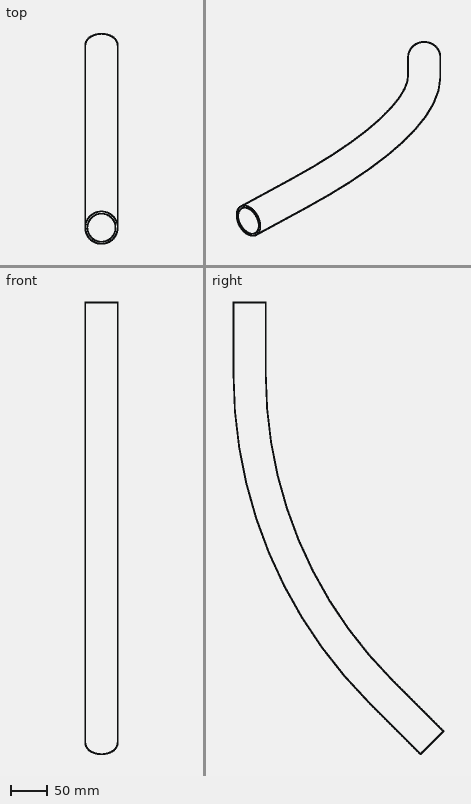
import cadquery as cq
import math

total_height = 620.0
outer_diameter = 44.5
inner_diameter = 38.5
straight_length = 100.0
bend_angle = math.radians(45)

rim_drop = outer_diameter / 2 * math.sin(bend_angle)
lower_end_height = straight_length * math.cos(bend_angle)
bend_height = total_height - straight_length - lower_end_height - rim_drop
bend_radius = bend_height / math.sin(bend_angle)


def bend_point(angle):
    """Centreline point (Y, Z) after turning by angle from the top of the bend."""
    return (bend_radius * (1 - math.cos(angle)), -bend_radius * math.sin(angle))


bend_end = bend_point(bend_angle)
lower_end = (
    bend_end[0] + straight_length * math.sin(bend_angle),
    bend_end[1] - lower_end_height,
)
centreline = (
    cq.Workplane("YZ")
    .moveTo(0, straight_length)
    .lineTo(0, 0)
    .threePointArc(bend_point(bend_angle / 2), bend_end)
    .lineTo(*lower_end)
)

result = (
    cq.Workplane("XY", origin=(0, 0, straight_length))
    .circle(outer_diameter / 2)
    .circle(inner_diameter / 2)
    .sweep(centreline)
)